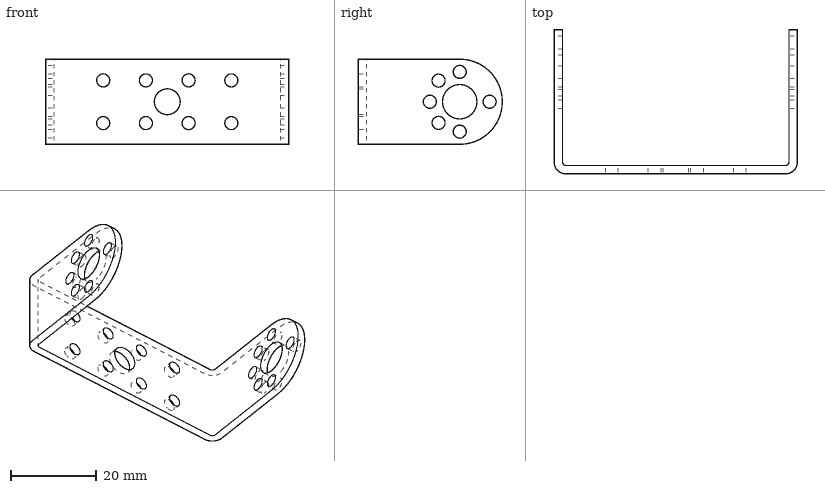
import cadquery as cq
import math

width = 57.0
height = 20.0
thickness = 2.0
inner_bend_radius = 0.8
outer_bend_radius = inner_bend_radius + thickness

arm_straight_length = 21.0
arm_end_radius = height / 2
hub_y = outer_bend_radius + arm_straight_length
depth = hub_y + arm_end_radius

screw_hole_diameter = 3.0
web_center_hole_diameter = 6.0
web_hole_pitch = 10.0
web_hole_columns = 4
web_hole_rows = 2

hub_hole_diameter = 8.0
hub_circle_radius = 7.0
hub_hole_angles = (0, 90, 135, 180, 225, 270)


def bent_strip():
    """Sheet bent into a U, centred on X and Z with the web's outer face at Y = 0."""
    outer = (
        cq.Workplane("XY")
        .rect(width, 2 * depth)
        .extrude(height / 2, both=True)
        .translate((0, depth, 0))
        .edges("|Z and <Y")
        .fillet(outer_bend_radius)
    )
    inner = (
        cq.Workplane("XY")
        .rect(width - 2 * thickness, 2 * depth)
        .extrude(height / 2, both=True)
        .translate((0, depth + thickness, 0))
        .edges("|Z and <Y")
        .fillet(inner_bend_radius)
    )
    return outer.cut(inner)


def arm_outline():
    """Side silhouette with round arm ends, extruded across the full width."""
    half_height = height / 2
    return (
        cq.Workplane("YZ")
        .moveTo(0, -half_height)
        .lineTo(hub_y, -half_height)
        .threePointArc((depth, 0), (hub_y, half_height))
        .lineTo(0, half_height)
        .close()
        .extrude(width / 2, both=True)
    )


def web_holes():
    """Centre hole and screw-hole grid, running along Y through the web."""
    plane = cq.Workplane("XZ")
    center_hole = plane.circle(web_center_hole_diameter / 2).extrude(outer_bend_radius, both=True)
    screw_holes = (
        plane.rarray(web_hole_pitch, web_hole_pitch, web_hole_columns, web_hole_rows)
        .circle(screw_hole_diameter / 2)
        .extrude(outer_bend_radius, both=True)
    )
    return center_hole.union(screw_holes)


def hub_holes():
    """Hub hole and the screw holes around it, running along X through both arms."""
    plane = cq.Workplane("YZ").center(hub_y, 0)
    screw_points = [
        (
            hub_circle_radius * math.cos(math.radians(angle)),
            hub_circle_radius * math.sin(math.radians(angle)),
        )
        for angle in hub_hole_angles
    ]
    hub_hole = plane.circle(hub_hole_diameter / 2).extrude(width, both=True)
    screw_holes = (
        plane.pushPoints(screw_points)
        .circle(screw_hole_diameter / 2)
        .extrude(width, both=True)
    )
    return hub_hole.union(screw_holes)


result = bent_strip().intersect(arm_outline()).cut(web_holes()).cut(hub_holes())